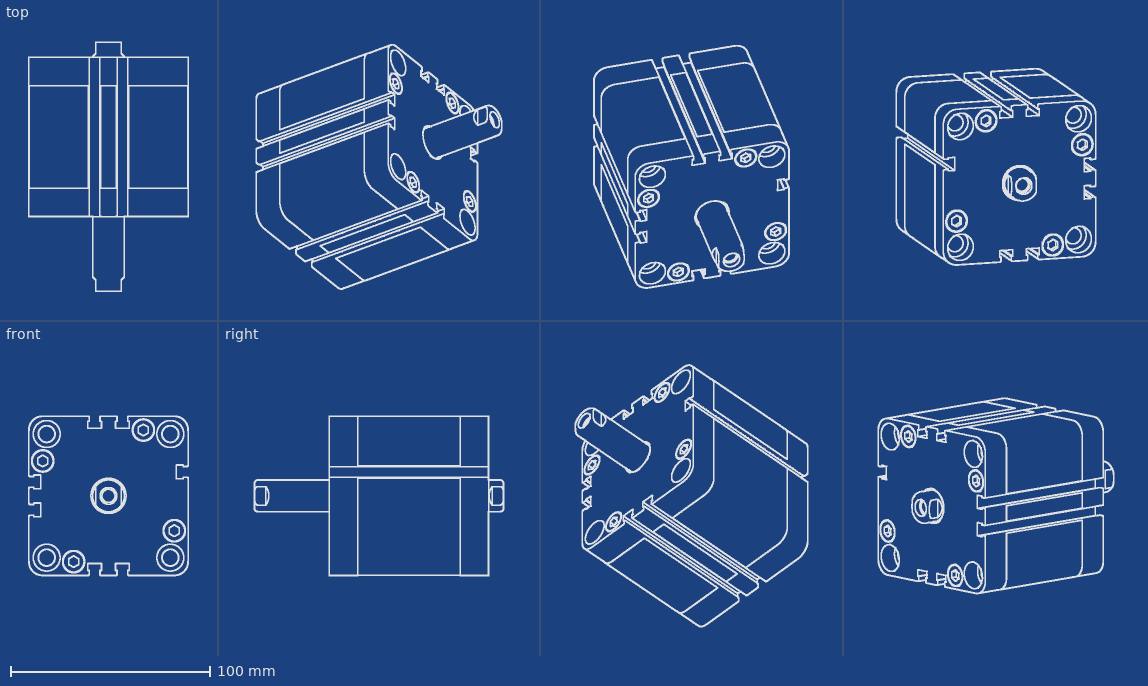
import cadquery as cq
import math


body_side = 80.0
tube_side = 79.9
body_length = 80.0
cap_length = 14.4
cap_corner_radius = 7.2
tube_corner_radius = 6.8
half_side = body_side / 2
half_length = body_length / 2
tube_length = body_length - 2 * cap_length

slot_offset = 7.0
single_slot_offset = 12.0
slot_mouth_width = 5.2
slot_width = 6.8
slot_depth = 6.0
slot_lip = 2.6
slot_mouth_radius = 0.8

mount_offset = 31.0
mount_diameter = 8.2
mount_counterbore_diameter = 13.5
mount_counterbore_depth = 9.0

screw_near_offset = 17.5
screw_far_offset = 33.0
screw_head_diameter = 10.5
screw_recess_diameter = 11.1
screw_gap_depth = 1.2
socket_across_flats = 5.0
socket_depth = 3.1

rod_diameter = 16.0
rod_front_length = 37.5
rod_back_length = 7.5
rod_end_radius = 1.8
rod_recess_diameter = 17.6
rod_recess_depth = 1.0
flat_width = 13.0
flat_length = 5.8

bore_diameter = 6.6
bore_depth = 20.0
bore_tip_angle = 118.0
bore_entry_diameter = 8.4
bore_entry_depth = 3.2

front_face = -half_length
rod_front = front_face - rod_front_length
rod_back = half_length + rod_back_length


def cylinder_y(x, y, z, diameter, length):
    """Cylinder that starts at (x, y, z) and runs along +Y, or -Y for a negative length."""
    direction = cq.Vector(0, math.copysign(1, length), 0)
    return cq.Workplane(obj=cq.Solid.makeCylinder(diameter / 2, abs(length), cq.Vector(x, y, z), direction))


def square_bar(side, start, length, corner_radius):
    """Rounded square bar that runs along +Y from the plane y = start."""
    bar = cq.Workplane("XY").box(side, length, side)
    return bar.edges("|Y").fillet(corner_radius).translate((0, start + length / 2, 0))


def make_body():
    front_cap = square_bar(body_side, front_face, cap_length, cap_corner_radius)
    tube = square_bar(tube_side, front_face + cap_length, tube_length, tube_corner_radius)
    back_cap = square_bar(body_side, half_length - cap_length, cap_length, cap_corner_radius)
    return front_cap.union(tube).union(back_cap)


def slot_cutter(offset, angle):
    """T-slot in the top side at x = offset, turned about Y by the angle to reach another side."""
    half_mouth = slot_mouth_width / 2
    half_slot = slot_width / 2
    half_opening = half_mouth + slot_mouth_radius
    lip_top = half_side - slot_mouth_radius
    lip_bottom = half_side - slot_lip
    floor = half_side - slot_depth
    slot = (
        cq.Workplane("XZ")
        .moveTo(half_opening, half_side)
        .radiusArc((half_mouth, lip_top), -slot_mouth_radius)
        .lineTo(half_mouth, lip_bottom)
        .lineTo(half_slot, lip_bottom)
        .lineTo(half_slot, floor)
        .lineTo(-half_slot, floor)
        .lineTo(-half_slot, lip_bottom)
        .lineTo(-half_mouth, lip_bottom)
        .lineTo(-half_mouth, lip_top)
        .radiusArc((-half_opening, half_side), -slot_mouth_radius)
        .close()
        .extrude(half_length, both=True)
    )
    return slot.translate((offset, 0, 0)).rotate((0, 0, 0), (0, 1, 0), angle)


def mount_hole(x, z):
    hole = cylinder_y(x, front_face, z, mount_diameter, body_length)
    for side in (-1, 1):
        depth = -side * mount_counterbore_depth
        hole = hole.union(cylinder_y(x, side * half_length, z, mount_counterbore_diameter, depth))
    return hole


def screw_cutter(x, z, side):
    """Ring gap around a flush screw head and its hexagon socket, in the cap on the given side."""
    face = side * half_length
    ring = cylinder_y(x, face, z, screw_recess_diameter, -side * screw_gap_depth)
    ring = ring.cut(cylinder_y(x, face, z, screw_head_diameter, -side * screw_gap_depth))
    across_corners = socket_across_flats / math.cos(math.pi / 6)
    socket = (
        cq.Workplane("XZ", origin=(x, face, z))
        .transformed(rotate=(0, 0, 90))
        .polygon(6, across_corners)
        .extrude(side * socket_depth)
    )
    return ring.union(socket)


def flat_cutter(end, outward):
    """Cutter for the two wrench flats at a rod end; each flat runs out on a 45 degree slope."""
    half_flat = flat_width / 2
    reach = rod_diameter / 2
    flat_end = end - outward * flat_length
    outline = [
        (half_flat, end),
        (half_flat, flat_end),
        (reach, flat_end - outward * (reach - half_flat)),
        (reach, end),
    ]
    flat = cq.Workplane("XY").polyline(outline).close().extrude(reach, both=True)
    return flat.union(flat.mirror("YZ"))


def bore_cutter(end, outward):
    """Stepped blind bore with a drill-point bottom in a rod end."""
    radius = bore_diameter / 2
    entry_radius = bore_entry_diameter / 2
    bottom = end - outward * bore_depth
    step = end - outward * bore_entry_depth
    tip = bottom - outward * radius / math.tan(math.radians(bore_tip_angle / 2))
    outline = [(0, end), (entry_radius, end), (entry_radius, step), (radius, step), (radius, bottom), (0, tip)]
    return cq.Workplane("XY").polyline(outline).close().revolve(360, (0, 0), (0, 1))


def make_rod():
    rod = cylinder_y(0, rod_front, 0, rod_diameter, rod_back - rod_front)
    rod = rod.faces("<Y or >Y").edges().fillet(rod_end_radius)
    for end, outward in ((rod_front, -1), (rod_back, 1)):
        rod = rod.cut(flat_cutter(end, outward))
        rod = rod.cut(bore_cutter(end, outward))
    return rod


body = make_body()

slots = [(-single_slot_offset, 90)]
for angle in (0, 180, 270):
    slots += [(-slot_offset, angle), (slot_offset, angle)]
for offset, angle in slots:
    body = body.cut(slot_cutter(offset, angle))

for x in (-mount_offset, mount_offset):
    for z in (-mount_offset, mount_offset):
        body = body.cut(mount_hole(x, z))

screw_places = [
    (screw_near_offset, screw_far_offset),
    (-screw_far_offset, screw_near_offset),
    (-screw_near_offset, -screw_far_offset),
    (screw_far_offset, -screw_near_offset),
]
for side in (-1, 1):
    for x, z in screw_places:
        body = body.cut(screw_cutter(x, z, side))
    body = body.cut(cylinder_y(0, side * half_length, 0, rod_recess_diameter, -side * rod_recess_depth))

body = body.cut(cylinder_y(0, front_face, 0, rod_diameter, body_length))
result = body.union(make_rod())